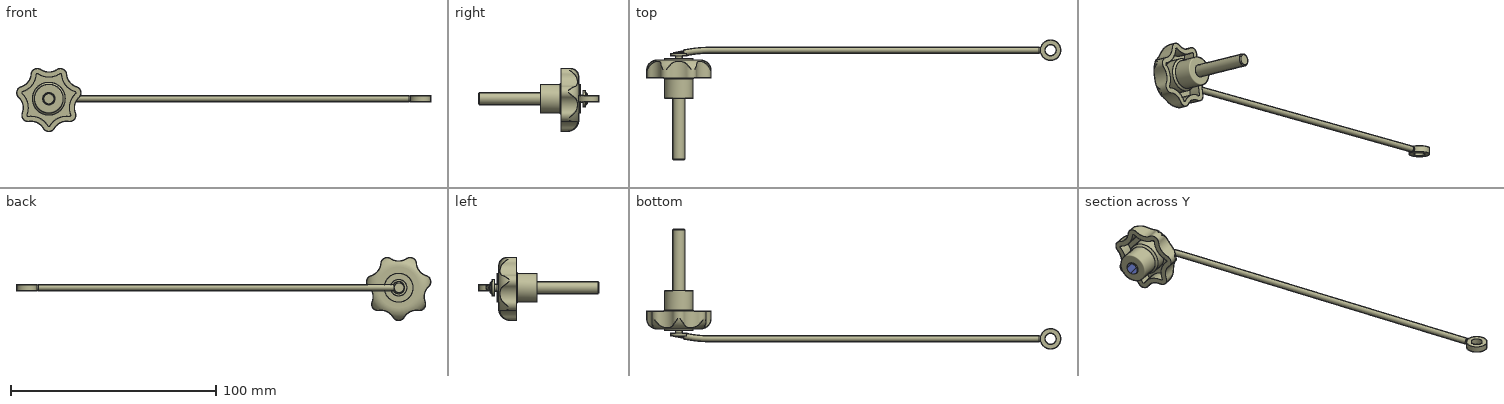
import math

import cadquery as cq


LOBES = 7
KNOB_RADIUS = 16.0
LOBE_RADIUS = 3.1
VALLEY_BOTTOM_RADIUS = 13.0
KNOB_HEIGHT = 8.8
DOME_RADIUS = 5.8
WALL = 2.5
POCKET_DEPTH = 6.0
BACK_BOSS_DIAMETER = 14.0
BACK_BOSS_HEIGHT = 0.7

HUB_ROOT_DIAMETER = 16.0
HUB_DIAMETER = 14.0
HUB_LENGTH = 10.0
HUB_CONE_START_Y = 0.5
HUB_CONE_END_Y = -0.5
HUB_EDGE = 0.5
STEM_DIAMETER = 6.0
STEM_END_Y = -40.0
STEM_CHAMFER = 0.5

PIN_DIAMETER = 3.5
FLANGE_DIAMETER = 8.0
FLANGE_BOTTOM_Y = 10.7
FLANGE_THICKNESS = 1.3

ROD_DIAMETER = 3.0
ROD_Y = 13.49
EYE_X = 180.98
EYE_DIAMETER = 10.0
EYE_HOLE_DIAMETER = 5.3
EYE_THICKNESS = ROD_DIAMETER
NECK_DIAMETER = 2.8
NECK_LENGTH = 0.7
BEND_ANGLE = 10.5
BEND_START_X = 15.1
BEND_LENGTH = 10.6
PIVOT_EYE_DIAMETER = 6.0
PIVOT_EYE_HEIGHT = 1.1
PIVOT_EYE_CHAMFER = 0.6
ROD_END_X = 2.5


def cylinder_y(diameter, y_start, y_end):
    """Cylinder along Y between two Y positions."""
    base = cq.Workplane("XZ", origin=(0, y_start, 0))
    return base.circle(diameter / 2).extrude(y_start - y_end)


def polar(radius, angle):
    return (radius * math.cos(angle), radius * math.sin(angle))


def star_outline():
    """Closed wire of round lobes joined by tangent round valleys; one lobe points to -Z."""
    half_pitch = math.pi / LOBES
    lobe_center = KNOB_RADIUS - LOBE_RADIUS
    reach = VALLEY_BOTTOM_RADIUS - LOBE_RADIUS
    valley_center = (lobe_center**2 - reach**2) / (2 * (lobe_center * math.cos(half_pitch) - reach))
    valley_radius = valley_center - VALLEY_BOTTOM_RADIUS
    share = LOBE_RADIUS / (LOBE_RADIUS + valley_radius)

    def tangent_point(lobe_angle, valley_angle):
        lobe_x, lobe_z = polar(lobe_center, lobe_angle)
        valley_x, valley_z = polar(valley_center, valley_angle)
        return (lobe_x + share * (valley_x - lobe_x), lobe_z + share * (valley_z - lobe_z))

    first_lobe = -math.pi / 2
    outline = cq.Workplane("XZ").moveTo(*tangent_point(first_lobe, first_lobe - half_pitch))
    for index in range(LOBES):
        lobe = first_lobe + 2 * half_pitch * index
        valley = lobe + half_pitch
        next_lobe = valley + half_pitch
        outline = outline.threePointArc(polar(KNOB_RADIUS, lobe), tangent_point(lobe, valley))
        outline = outline.threePointArc(
            polar(VALLEY_BOTTOM_RADIUS, valley), tangent_point(next_lobe, valley)
        )
    return outline.close()


def make_knob():
    dome = cylinder_y(2 * KNOB_RADIUS, 0, KNOB_HEIGHT).faces(">Y").edges().fillet(DOME_RADIUS)
    star = star_outline().extrude(-KNOB_HEIGHT)
    pocket = star_outline().offset2D(-WALL).extrude(-POCKET_DEPTH)
    back_boss = cylinder_y(BACK_BOSS_DIAMETER, POCKET_DEPTH, KNOB_HEIGHT + BACK_BOSS_HEIGHT)
    return star.intersect(dome).cut(pocket).union(back_boss)


def make_hub_and_stem():
    root_step = (HUB_ROOT_DIAMETER - HUB_DIAMETER) / 2
    cone_length = HUB_CONE_START_Y - HUB_CONE_END_Y
    root = cylinder_y(HUB_ROOT_DIAMETER, HUB_CONE_START_Y, POCKET_DEPTH)
    cone = cq.Workplane("XZ", origin=(0, HUB_CONE_START_Y, 0)).circle(HUB_ROOT_DIAMETER / 2)
    cone = cone.extrude(cone_length, taper=math.degrees(math.atan(root_step / cone_length)))
    hub = cylinder_y(HUB_DIAMETER, -HUB_LENGTH, POCKET_DEPTH).faces("<Y").edges().fillet(HUB_EDGE)
    stem = cylinder_y(STEM_DIAMETER, STEM_END_Y, POCKET_DEPTH).faces("<Y").edges().chamfer(STEM_CHAMFER)
    return root.union(cone).union(hub).union(stem)


def make_pivot_pin():
    pin = cylinder_y(PIN_DIAMETER, KNOB_HEIGHT, FLANGE_BOTTOM_Y)
    flange = cylinder_y(FLANGE_DIAMETER, FLANGE_BOTTOM_Y, FLANGE_BOTTOM_Y + FLANGE_THICKNESS)
    return pin.union(flange)


def make_strap():
    bend = math.radians(BEND_ANGLE)
    bend_radius = BEND_LENGTH / bend

    def bend_point(angle):
        return (
            BEND_START_X - bend_radius * math.sin(angle),
            ROD_Y - bend_radius * (1 - math.cos(angle)),
        )

    bend_end_x, bend_end_y = bend_point(bend)
    pivot_y = bend_end_y - bend_end_x * math.tan(bend)
    rod_start_x = EYE_X - EYE_DIAMETER / 2 - NECK_LENGTH
    path = (
        cq.Workplane("XY")
        .moveTo(rod_start_x, ROD_Y)
        .lineTo(BEND_START_X, ROD_Y)
        .threePointArc(bend_point(bend / 2), (bend_end_x, bend_end_y))
        .lineTo(ROD_END_X, pivot_y + ROD_END_X * math.tan(bend))
    )
    rod_start = cq.Workplane("YZ", origin=(rod_start_x, ROD_Y, 0))
    rod = rod_start.circle(ROD_DIAMETER / 2).sweep(path)
    eye_wall = (EYE_DIAMETER - EYE_HOLE_DIAMETER) / 2
    neck = rod_start.circle(NECK_DIAMETER / 2).extrude(NECK_LENGTH + eye_wall / 2)

    eye_plane = cq.Workplane("XY", origin=(EYE_X, ROD_Y, -EYE_THICKNESS / 2))
    eye = eye_plane.circle(EYE_DIAMETER / 2).extrude(EYE_THICKNESS)
    hole = eye_plane.circle(EYE_HOLE_DIAMETER / 2).extrude(EYE_THICKNESS)

    pivot_eye = cylinder_y(PIVOT_EYE_DIAMETER, pivot_y, pivot_y + PIVOT_EYE_HEIGHT)
    pivot_eye = pivot_eye.faces(">Y").edges().chamfer(PIVOT_EYE_CHAMFER)
    pivot_eye = pivot_eye.rotate((0, pivot_y, 0), (0, pivot_y, 1), BEND_ANGLE)
    return rod.union(neck).union(eye).cut(hole).union(pivot_eye)


result = make_knob().union(make_hub_and_stem()).union(make_pivot_pin()).union(make_strap())